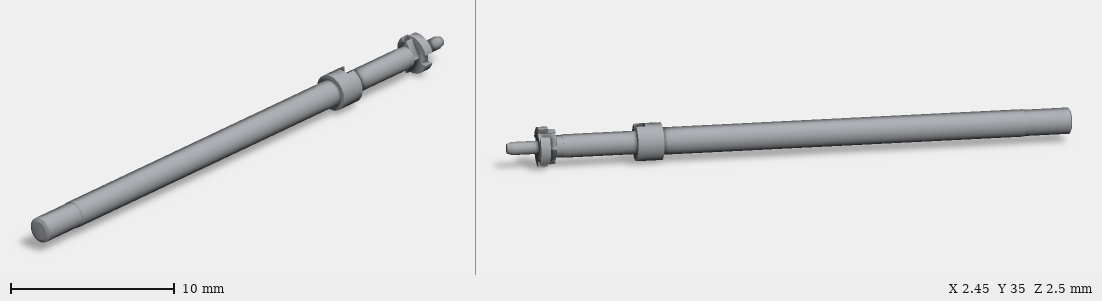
import cadquery as cq
import math

length = 35.0
tip_y = length / 2

tip_length = 1.92
flange_length = 0.6
wedge_length = 0.5
neck_length = 0.42
barrel_length = 4.55
collar_length = 1.6
tail_length = 2.95

tip_diameter = 0.8
flange_diameter = 2.5
neck_diameter = 1.35
barrel_diameter = 1.45
collar_diameter = 2.3
body_diameter = 1.68
tail_diameter = 1.6

tip_chamfer_length = 0.35
tip_chamfer_depth = 0.1
tail_chamfer_length = 0.1
tail_chamfer_depth = 0.2

slot_count = 3
slot_width = 0.7
slot_floor_radius = 0.8

wedge_point_angle = 60.0
wedge_half_height = 1.12
wedge_half_width = wedge_half_height * math.tan(math.radians(wedge_point_angle / 2))

notch_width = 0.77
notch_length = 0.55

flange_front_y = tip_y - tip_length
wedge_front_y = flange_front_y - flange_length
neck_front_y = wedge_front_y - wedge_length
barrel_front_y = neck_front_y - neck_length
collar_front_y = barrel_front_y - barrel_length
body_front_y = collar_front_y - collar_length
tail_end_y = -length / 2
tail_front_y = tail_end_y + tail_length


def plane_at(y):
    """XZ sketch plane at the given Y; extrusions run toward -Y."""
    return cq.Workplane("XZ", origin=(0, y, 0))


def rod(diameter, front_y, back_y):
    return plane_at(front_y).circle(diameter / 2).extrude(front_y - back_y)


def tip():
    pin = rod(tip_diameter, tip_y, wedge_front_y)
    return pin.faces(">Y").chamfer(tip_chamfer_length, tip_chamfer_depth)


def locking_head():
    """Flange and rhombic wedge, both cut by the radial slots."""
    flange = rod(flange_diameter, flange_front_y, wedge_front_y)
    rhombus = [
        (wedge_half_width, 0),
        (0, wedge_half_height),
        (-wedge_half_width, 0),
        (0, -wedge_half_height),
    ]
    wedge = plane_at(wedge_front_y).polyline(rhombus).close().extrude(wedge_length)
    head = flange.union(wedge)

    slot_depth = flange_diameter / 2
    slot_run = flange_length + wedge_length
    slot = cq.Workplane("XY").box(slot_depth, slot_run, slot_width).translate(
        (slot_floor_radius + slot_depth / 2, flange_front_y - slot_run / 2, 0)
    )
    for index in range(slot_count):
        head = head.cut(slot.rotate((0, 0, 0), (0, 1, 0), index * 360 / slot_count))
    return head


def collar():
    """Collar with a rim notch that reaches down to the barrel surface."""
    ring = rod(collar_diameter, collar_front_y, body_front_y)
    notch = cq.Workplane("XY").box(notch_width, notch_length, collar_diameter / 2).translate(
        (0, collar_front_y - notch_length / 2, collar_diameter / 4)
    )
    return ring.cut(notch)


def tail():
    end = rod(tail_diameter, tail_front_y, tail_end_y)
    return end.faces("<Y").chamfer(tail_chamfer_length, tail_chamfer_depth)


result = (
    tip()
    .union(locking_head())
    .union(rod(neck_diameter, neck_front_y, barrel_front_y))
    .union(rod(barrel_diameter, barrel_front_y, body_front_y))
    .union(collar())
    .union(rod(body_diameter, body_front_y, tail_front_y))
    .union(tail())
)